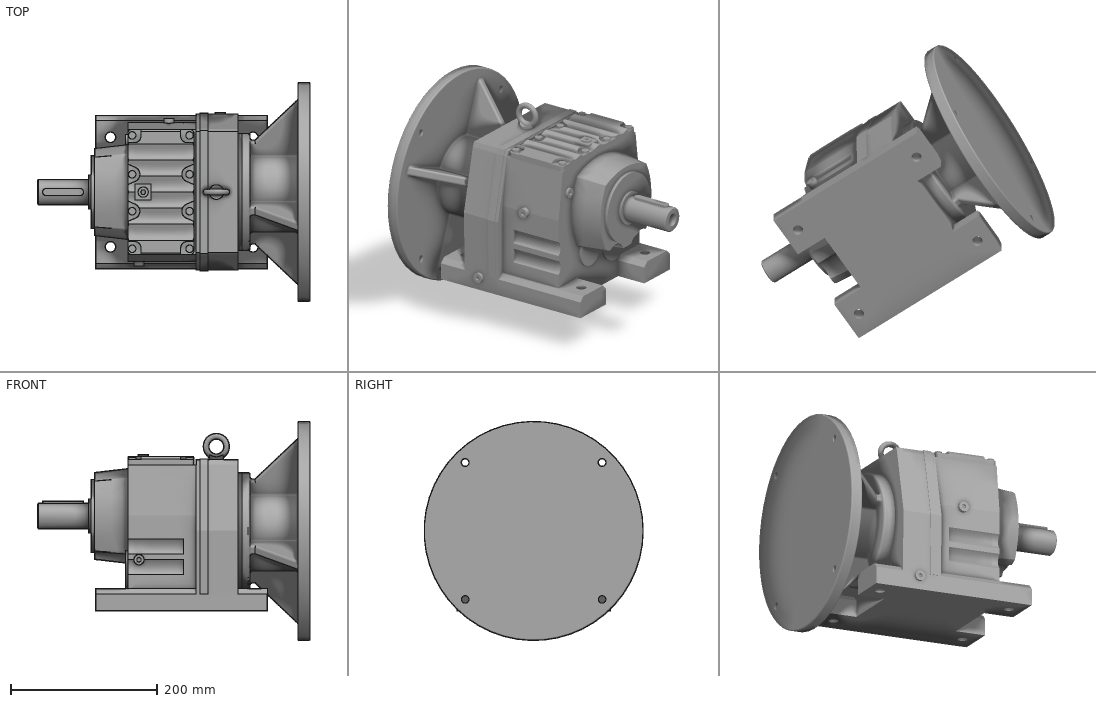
import cadquery as cq
import math


shaft_height = 130.0
shaft_z = 20.5
base_z = shaft_z - shaft_height

shaft_length = 70.0
bearing_cap_x = 73.5
nose_x = 78.2
case_x = 123.7
wall_x = 217.1
wall_band_x = 222.1
wall_band_end_x = 233.7
wall_end_x = 274.6
spigot_end_x = 280.0
adapter_ring_end_x = 291.2
total_length = 373.0
flange_thickness = 16.5
flange_x = total_length - flange_thickness

shaft_dia = 35.0
collar_dia = 47.0
shaft_chamfer = 1.5
key_width = 10.0
key_height = 8.0
key_length = 56.0
key_start = 7.0
keyway_depth = 5.0
thread_hole_dia = 10.2
thread_hole_depth = 37.0
thread_relief_dia = 13.0
thread_relief_depth = 9.5
center_cone_dia = 18.0
center_cone_angle = 60.0
drill_tip_angle = 118.0

case_top_z = 90.5
case_top_half = 85.6
case_half = 95.0
bearing_cap_dia = 100.0
nose_half_corner = 47.8
nose_half_bulge = 59.6
nose_draft = 6.6

wall_top_z = 97.5
wall_top_half = 83.0
wall_shoulder_half = 86.0
wall_half = 107.0
wall_base_half = 105.0
wall_band_height = 1.0
spigot_dia = 160.0

flute_end_x = 200.0
flute_depth = 5.0
flute_half_height = 10.2
flute_heights = (-21.0, -49.2)

front_bosses = ((24.1, -45.9, 45.0, 38.0), (-34.0, -49.8, 60.0, 49.0))
boss_height = 3.5

foot_x = 79.7
foot_length = 235.0
foot_height = 30.5
foot_outer = 105.0
foot_inner = 45.0
foot_chamfer = 7.0
foot_shoulder_z = base_z + foot_height - foot_chamfer
foot_hole_dia = 14.0
foot_hole_inset = 20.2
foot_hole_pitch = (195.0, 150.0)

cover_length = 90.3
cover_height = 11.5
cover_corner_radius = 5.0
cover_end_chamfer = 1.2
cover_side_chamfer = (2.4, 3.4)
groove_pitch = 22.0
groove_count = 6
groove_slope = 22.0
pocket_floor = 7.2
pocket_radius = 10.5
pocket_corner_radius = 9.0
bolt_dia = 10.2
bolt_height = 3.0
bolt_inset = 5.9
bolt_rows = (-77.6, -26.2, 24.3, 77.6)
outer_pocket_depth = 18.0
inner_pocket_half_mouth = 14.0
breather_pad_size = 22.0
breather_inset = 21.0

plug_dia = 14.0
plug_length = 10.0
plug_socket = 6.0
plug_socket_depth = 3.0
breather_height = 2.5
hex_corner_ratio = 2 / math.sqrt(3)

eye_x = 244.8
eye_hole_dia = 20.0
eye_rod_dia = 8.0
eye_collar_dia = 20.0
eye_collar_height = 6.7

ring_dia = 160.0
ring_fillet = 3.4
neck_dia = 110.0
flange_dia = 300.0
flange_fillet = 2.0
flange_hole_dia = 10.25
flange_hole_circle = 265.0
rib_count = 4
rib_angle = 21.0
rib_thickness = 12.0
rib_start_radius = 75.0
rib_end_radius = 134.5
rib_land = 6.5
rib_edge_fillet = 3.0
rib_root_fillet = 3.0
tolerance = 0.01


def yz_plane(x, y=0.0, z=0.0):
    """Plane across X, with local x along Y, local y along Z and its normal along +X."""
    return cq.Workplane("YZ", origin=(x, y, z))


def rod(x_start, x_end, dia, y=0.0, z=0.0):
    """Cylinder along X."""
    return yz_plane(x_start, y, z).circle(dia / 2).extrude(x_end - x_start)


def mirrored_prism(half_outline, x_start, x_end):
    """Prism along X whose section is symmetric in Y; half_outline lists the +Y points."""
    other_half = [(-y, z) for y, z in reversed(half_outline)]
    return yz_plane(x_start).polyline(half_outline + other_half).close().extrude(x_end - x_start)


def make_nose():
    """Tapered nose with four bulged sides, relieved around the two front bosses."""
    c = nose_half_corner
    b = nose_half_bulge
    depth = case_x - nose_x
    nose = (
        yz_plane(nose_x, z=shaft_z)
        .moveTo(-c, c)
        .threePointArc((0, b), (c, c))
        .threePointArc((b, 0), (c, -c))
        .threePointArc((0, -b), (-c, -c))
        .threePointArc((-b, 0), (-c, c))
        .close()
        .extrude(depth, taper=-nose_draft)
    )
    for y, z, _, relief_dia in front_bosses:
        nose = nose.cut(rod(nose_x, case_x, relief_dia, y, z))
    return nose


def wall_outline(growth):
    """+Y half of the rear wall section above the feet, grown outward by the given amount."""
    return [
        (foot_inner, base_z),
        (foot_inner, foot_shoulder_z),
        (wall_base_half + growth, foot_shoulder_z),
        (wall_half + growth, 0),
        (wall_shoulder_half + growth, case_top_z),
        (wall_top_half + growth, wall_top_z + growth),
    ]


def make_foot(side):
    """One foot bar; side is +1 or -1 along Y."""
    c = foot_chamfer
    top = foot_shoulder_z + c
    outline = [
        (foot_inner, base_z),
        (foot_outer, base_z),
        (foot_outer, foot_shoulder_z),
        (foot_outer - c, top),
        (foot_inner + c, top),
        (foot_inner, foot_shoulder_z),
    ]
    foot = yz_plane(foot_x).polyline([(side * y, z) for y, z in outline]).close().extrude(foot_length)
    pitch_x, pitch_y = foot_hole_pitch
    first_hole_x = foot_x + foot_hole_inset
    holes = (
        cq.Workplane("XY", origin=(0, side * pitch_y / 2, base_z))
        .pushPoints([(first_hole_x, 0), (first_hole_x + pitch_x, 0)])
        .circle(foot_hole_dia / 2)
        .extrude(foot_height)
    )
    return foot.cut(holes)


def make_flute(side, z):
    """Shallow cylindrical flute in a side wall of the case."""
    radius = (flute_half_height**2 + flute_depth**2) / (2 * flute_depth)
    return rod(case_x, flute_end_x, 2 * radius, side * (case_half - flute_depth + radius), z)


def make_housing():
    case_outline = [(case_half, base_z), (case_half, shaft_z), (case_top_half, case_top_z)]
    housing = mirrored_prism(case_outline, case_x, wall_x)
    for side in (1, -1):
        for z in flute_heights:
            housing = housing.cut(make_flute(side, z))
    housing = housing.union(make_nose())
    housing = housing.union(rod(bearing_cap_x, nose_x, bearing_cap_dia, z=shaft_z))
    for y, z, boss_dia, _ in front_bosses:
        housing = housing.union(rod(case_x - boss_height, case_x, boss_dia, y, z))
    housing = housing.union(mirrored_prism(wall_outline(0), wall_x, wall_end_x))
    band = mirrored_prism(wall_outline(wall_band_height), wall_band_x, wall_band_end_x)
    housing = housing.union(band)
    housing = housing.union(rod(wall_end_x, spigot_end_x, spigot_dia))
    for side in (1, -1):
        housing = housing.union(make_foot(side))
    return housing


def make_shaft():
    shaft = rod(0, shaft_length, shaft_dia, z=shaft_z).faces("<X").chamfer(shaft_chamfer)
    shaft = shaft.union(rod(shaft_length, bearing_cap_x, collar_dia, z=shaft_z))
    relief_r = thread_relief_dia / 2
    hole_r = thread_hole_dia / 2
    cone_r = center_cone_dia / 2
    cone_depth = (cone_r - relief_r) / math.tan(math.radians(center_cone_angle / 2))
    tip_depth = hole_r / math.tan(math.radians(drill_tip_angle / 2))
    center_hole = (
        cq.Workplane("XY", origin=(0, 0, shaft_z))
        .polyline([
            (0, 0),
            (0, cone_r),
            (cone_depth, relief_r),
            (thread_relief_depth, relief_r),
            (thread_relief_depth, hole_r),
            (thread_hole_depth, hole_r),
            (thread_hole_depth + tip_depth, 0),
        ])
        .close()
        .revolve(360, (0, 0), (1, 0))
    )
    return shaft.cut(center_hole)


def make_key():
    key_bottom = shaft_z + shaft_dia / 2 - keyway_depth
    return (
        cq.Workplane("XY", origin=(key_start + key_length / 2, 0, key_bottom))
        .slot2D(key_length, key_width)
        .extrude(key_height)
    )


def make_plug(head_center, outward, length):
    """Plug whose outer face is centred on head_center and faces along outward."""
    head = cq.Plane(origin=head_center, xDir=(0, 0, 1) if outward[2] == 0 else (1, 0, 0), normal=outward)
    body = cq.Workplane(head).circle(plug_dia / 2).extrude(-length)
    socket = cq.Workplane(head).polygon(6, plug_socket * hex_corner_ratio).extrude(-plug_socket_depth)
    return body.cut(socket)


plug_seats = (
    ((138.9, -101.3, -39.4), (0, -1, 0)),
    ((180.0, 101.0, 20.0), (0, 1, 0)),
    ((250.0, 109.1, -90.7), (0, 1, 0)),
    ((120.2, 71.8, 55.3), (-1, 0, 0)),
)


def make_groove(y):
    """Cutter for one cooling groove: straight slopes running into a round bottom."""
    slope = math.radians(groove_slope)
    half = groove_pitch / 2
    arc_half = half / 2
    shoulder_drop = (half - arc_half) * math.tan(slope)
    arc_drop = arc_half / math.sin(slope) * (1 - math.cos(slope))
    return (
        yz_plane(case_x, y, case_top_z + cover_height)
        .moveTo(-half, 0)
        .lineTo(-arc_half, -shoulder_drop)
        .threePointArc((0, -shoulder_drop - arc_drop), (arc_half, -shoulder_drop))
        .lineTo(half, 0)
        .close()
        .extrude(cover_length)
    )


def make_outer_pocket():
    """Round-cornered bolt pocket centred on a cover corner, open to both sides of it."""
    d = outer_pocket_depth
    pocket = cq.Workplane("XY").box(2 * d, 2 * d, cover_height, centered=(True, True, False))
    return pocket.edges("|Z").fillet(pocket_corner_radius)


def make_inner_pocket():
    """Bolt pocket with a flared mouth on the cover end at X = 0; the bolt is on Y = 0."""
    round_end = cq.Workplane("XY").center(bolt_inset, 0).circle(pocket_radius).extrude(cover_height)
    neck_x = bolt_inset + pocket_radius / 2
    neck_y = pocket_radius * math.cos(math.radians(30))
    mouth = (
        cq.Workplane("XY")
        .polyline([
            (0, -inner_pocket_half_mouth),
            (neck_x, -neck_y),
            (neck_x, neck_y),
            (0, inner_pocket_half_mouth),
        ])
        .close()
        .extrude(cover_height)
    )
    return round_end.union(mouth)


def make_cover():
    """Ribbed cover with its bolt heads and the breather pad and plug."""
    mid_x = case_x + cover_length / 2
    top_z = case_top_z + cover_height
    floor_z = case_top_z + pocket_floor
    cover = (
        cq.Workplane("XY", origin=(mid_x, 0, case_top_z))
        .rect(cover_length, 2 * case_top_half)
        .extrude(cover_height)
        .edges("|Z")
        .fillet(cover_corner_radius)
    )
    chamfer_y, chamfer_z = cover_side_chamfer
    side_trim = mirrored_prism(
        [
            (case_top_half, case_top_z),
            (case_top_half, top_z - chamfer_z),
            (case_top_half - chamfer_y, top_z),
        ],
        case_x,
        case_x + cover_length,
    )
    end_trim = (
        cq.Workplane("XY", origin=(mid_x, 0, case_top_z))
        .rect(cover_length, 2 * case_top_half)
        .extrude(cover_height)
        .faces(">Z")
        .edges("|Y")
        .chamfer(cover_end_chamfer)
    )
    cover = cover.intersect(side_trim).intersect(end_trim)
    for i in range(groove_count):
        cover = cover.cut(make_groove((i - (groove_count - 1) / 2) * groove_pitch))

    bolts = cq.Workplane("XY", origin=(0, 0, floor_z))
    for row_y in bolt_rows:
        is_outer = abs(row_y) == max(bolt_rows)
        for end in (1, -1):
            end_x = mid_x - end * cover_length / 2
            if is_outer:
                pocket = make_outer_pocket().translate((end_x, math.copysign(case_top_half, row_y), floor_z))
            else:
                turn = 0 if end == 1 else 180
                pocket = make_inner_pocket().rotate((0, 0, 0), (0, 0, 1), turn)
                pocket = pocket.translate((end_x, row_y, floor_z))
            cover = cover.cut(pocket)
            bolts = bolts.moveTo(end_x + end * bolt_inset, row_y).circle(bolt_dia / 2)
    cover = cover.union(bolts.extrude(bolt_height))

    breather_x = case_x + breather_inset
    pad = (
        cq.Workplane("XY", origin=(breather_x, 0, case_top_z))
        .rect(breather_pad_size, breather_pad_size)
        .extrude(cover_height)
    )
    breather = make_plug((breather_x, 0, top_z + breather_height), (0, 0, 1), breather_height)
    return cover.union(pad).union(breather)


def make_eye_bolt():
    ring_radius = (eye_hole_dia + eye_rod_dia) / 2
    ring_z = wall_top_z + ring_radius + eye_rod_dia / 2
    ring = cq.Workplane(cq.Solid.makeTorus(
        ring_radius, eye_rod_dia / 2, cq.Vector(eye_x, 0, ring_z), cq.Vector(0, 1, 0)
    ))
    collar = (
        cq.Workplane("XY", origin=(eye_x, 0, wall_top_z))
        .circle(eye_collar_dia / 2)
        .extrude(eye_collar_height)
    )
    opening = (
        cq.Workplane("XZ", origin=(eye_x, eye_collar_dia, ring_z))
        .circle(ring_radius)
        .extrude(2 * eye_collar_dia)
    )
    return collar.cut(opening).union(ring)


def make_adapter_core():
    """Ring, neck and flange as one turned body with rounded rims."""
    ring_r = ring_dia / 2
    neck_r = neck_dia / 2
    flange_r = flange_dia / 2
    core = (
        cq.Workplane("XY")
        .polyline([
            (spigot_end_x, 0),
            (spigot_end_x, ring_r),
            (adapter_ring_end_x, ring_r),
            (adapter_ring_end_x, neck_r),
            (flange_x, neck_r),
            (flange_x, flange_r),
            (total_length, flange_r),
            (total_length, 0),
        ])
        .close()
        .revolve(360, (0, 0), (1, 0))
    )
    ring_rim = cq.selectors.BoxSelector(
        (adapter_ring_end_x - 1, -ring_dia, -ring_dia), (adapter_ring_end_x + 1, ring_dia, ring_dia), True
    )
    core = core.edges(ring_rim).edges(cq.selectors.RadiusNthSelector(-1)).fillet(ring_fillet)
    return core.edges(cq.selectors.RadiusNthSelector(-1)).fillet(flange_fillet)


def make_rib():
    """Triangular rib standing along +Z from the neck, with a rounded crest."""
    rib = (
        cq.Workplane("XZ", origin=(0, rib_thickness / 2, 0))
        .polyline([
            (adapter_ring_end_x, 0),
            (adapter_ring_end_x, rib_start_radius),
            (adapter_ring_end_x + rib_land, rib_start_radius),
            (flange_x, rib_end_radius),
            (flange_x, 0),
        ])
        .close()
        .extrude(rib_thickness)
    )
    crest = cq.selectors.BoxSelector(
        (adapter_ring_end_x - 1, -rib_thickness, neck_dia / 2),
        (flange_x + 1, rib_thickness, rib_end_radius + 1),
        True,
    )
    return rib.edges(crest).edges("not(|Y or |Z)").fillet(rib_edge_fillet)


def is_rib_root(edge):
    """True for the inner corners between neck, ribs, ring and flange."""
    center = edge.Center()
    radius = math.hypot(center.y, center.z)
    at_ring = abs(center.x - adapter_ring_end_x) < tolerance
    at_flange = abs(center.x - flange_x) < tolerance
    on_rib = neck_dia / 2 - rib_thickness / 2 < radius < rib_end_radius + tolerance
    along_neck = abs(radius - neck_dia / 2) < 1 and edge.geomType() == "LINE"
    return on_rib and (at_ring or at_flange or along_neck)


def fillet_rib_roots(adapter):
    solid = adapter.val().Solids()[0]
    roots = [edge for edge in solid.Edges() if is_rib_root(edge)]
    return cq.Workplane(solid.fillet(rib_root_fillet, roots))


def make_adapter():
    adapter = make_adapter_core()
    for i in range(rib_count):
        rib = make_rib().rotate((0, 0, 0), (1, 0, 0), rib_angle + i * 360 / rib_count)
        adapter = adapter.union(rib)
    adapter = fillet_rib_roots(adapter)
    first_hole_angle = 180 / rib_count
    holes = (
        yz_plane(flange_x)
        .polarArray(flange_hole_circle / 2, first_hole_angle, 360, rib_count)
        .circle(flange_hole_dia / 2)
        .extrude(flange_thickness)
    )
    return adapter.cut(holes)


key = make_key()
shaft = make_shaft().cut(key)
plugs = [make_plug(center, outward, plug_length) for center, outward in plug_seats]
housing = make_housing()
for center, outward in plug_seats:
    head = cq.Plane(origin=center, xDir=(0, 0, 1), normal=outward)
    housing = housing.cut(cq.Workplane(head).circle(plug_dia / 2).extrude(-plug_length))
cover = make_cover()
eye_bolt = make_eye_bolt()
adapter = make_adapter()

result = cq.Compound.makeCompound(
    [housing.val(), shaft.val(), key.val(), cover.val(), eye_bolt.val(), adapter.val()]
    + [plug.val() for plug in plugs]
)